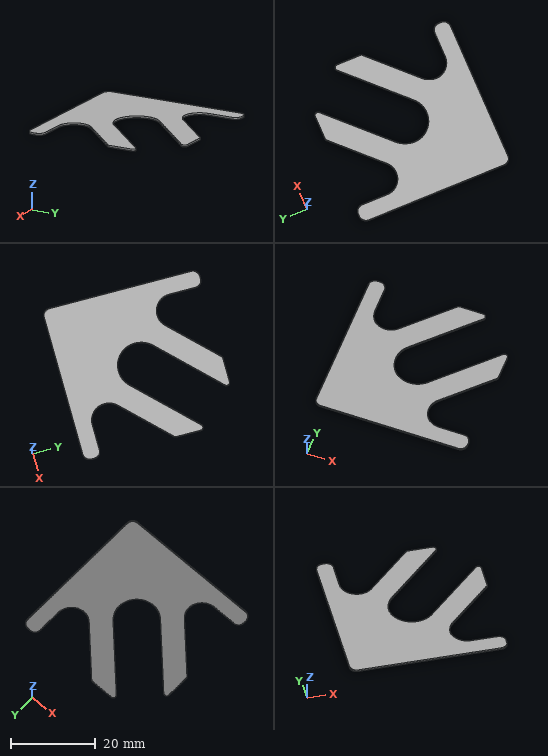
import cadquery as cq
import math

side = 38.1
thickness = 0.5
arm_width = 4.1
finger_width = 5.7
center_slot_radius = 5.55
center_slot_position = 19.05
side_slot_radius = 4.1
plate_corner_radius = 1.7
finger_tip_radius = 0.75

inner_edge_offset = center_slot_radius * math.sqrt(2)
outer_edge_offset = (center_slot_radius + finger_width) * math.sqrt(2)
inner_tip_x = side - inner_edge_offset
outer_tip_x = side - outer_edge_offset

side_slot_x = arm_width + side_slot_radius
side_slot_y = side_slot_x + outer_edge_offset + side_slot_radius * math.sqrt(2)

center_tangent = center_slot_radius / math.sqrt(2)
side_tangent = side_slot_radius / math.sqrt(2)


def center_slot():
    """Diagonal slot between the fingers, open at the far corner."""
    near, far = center_slot_position, 2 * side
    return (
        cq.Workplane("XY")
        .moveTo(far - center_tangent, far + center_tangent)
        .lineTo(near - center_tangent, near + center_tangent)
        .threePointArc((near - center_tangent, near - center_tangent),
                       (near + center_tangent, near - center_tangent))
        .lineTo(far + center_tangent, far - center_tangent)
        .close()
        .extrude(thickness)
    )


def side_slot():
    """Flaring slot between the upright arm and its finger, open at the top."""
    return (
        cq.Workplane("XY")
        .moveTo(arm_width, side)
        .lineTo(arm_width, side_slot_y)
        .threePointArc((side_slot_x, side_slot_y - side_slot_radius),
                       (side_slot_x + side_tangent, side_slot_y - side_tangent))
        .lineTo(outer_tip_x, side)
        .close()
        .extrude(thickness)
    )


def round_corners(plate, points, radius):
    """Round the upright edges that stand at the given XY points."""
    for x, y in points:
        edge = cq.selectors.NearestToPointSelector((x, y, thickness / 2))
        plate = plate.edges("|Z").edges(edge).fillet(radius)
    return plate


def with_mirror(points):
    """Add to the points their mirror images across the diagonal."""
    return points + [(y, x) for x, y in points]


upright_slot = side_slot()
level_slot = upright_slot.rotate((0, 0, thickness / 2), (0.4, 0.4, thickness / 2), 180)
result = cq.Workplane("XY").rect(side, side, centered=False).extrude(thickness)
result = result.cut(center_slot()).cut(upright_slot).cut(level_slot)

plate_corners = [(0, 0)] + with_mirror([(0, side), (arm_width, side)])
finger_tips = with_mirror([(inner_tip_x, side), (outer_tip_x, side)])
result = round_corners(result, plate_corners, plate_corner_radius)
result = round_corners(result, finger_tips, finger_tip_radius)